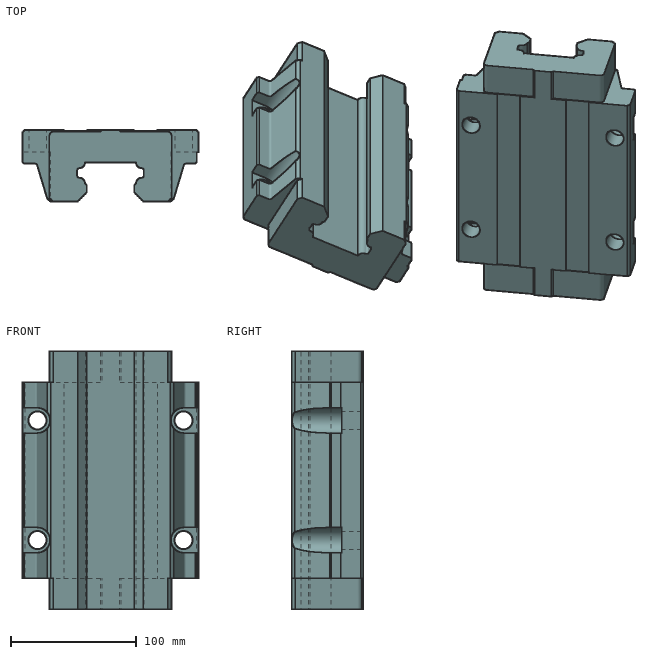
import cadquery as cq

WIDTH = 140.0
HEIGHT = 57.0
LENGTH = 205.1
BLOCK_LENGTH = 155.8

BLOCK_TOP_CHAMFER = 2.0
FLANGE_BOTTOM = 30.1
FLANGE_CHAMFER = 1.4
SKIRT_TOP_HALF = 58.65
SKIRT_FOOT_HALF = 50.3
SKIRT_FOOT_HEIGHT = 2.3
BLOCK_BOTTOM_HALF = 47.5
SKIRT_FILLET = 2.0

STEP_TOP = 39.2
STEP_DEPTH = 1.4

GROOVE_OFFSET = 27.75
GROOVE_WIDTH = 18.4
GROOVE_DEPTH = 0.7

CAP_WIDTH = 97.0
CAP_TOP = 55.6
CAP_TOP_RADIUS = 3.4
CAP_BOTTOM_CHAMFER = 3.0
RIDGE_BASE_WIDTH = 16.4

CHANNEL_TOP = 31.0
CHANNEL_HALF = 20.2
RACE_RADIUS = 4.5
RECESS_HALF = 26.4
RECESS_HEIGHT = 7.5
LIP_HALF = 18.85
LIP_TOP = 13.1
LIP_CHAMFER = 7.3

HOLE_SPACING_X = 116.0
HOLE_SPACING_Z = 95.0
HOLE_DIAMETER = 14.2
COUNTERBORE_DIAMETER = 20.0
SEAT_HEIGHT = 39.7


def along_z(section, length):
    """Extrude a closed XY section symmetrically about Z = 0."""
    return section.extrude(length / 2, both=True)


def box_at(x, y, size_x, size_y, length):
    """Bar along Z with its section centred at (x, y)."""
    return along_z(cq.Workplane("XY").center(x, y).rect(size_x, size_y), length)


def make_block():
    half = WIDTH / 2
    right_side = [
        (half - BLOCK_TOP_CHAMFER, HEIGHT),
        (half, HEIGHT - BLOCK_TOP_CHAMFER),
        (half, FLANGE_BOTTOM + FLANGE_CHAMFER),
        (half - FLANGE_CHAMFER, FLANGE_BOTTOM),
        (SKIRT_TOP_HALF, FLANGE_BOTTOM),
        (SKIRT_FOOT_HALF, SKIRT_FOOT_HEIGHT),
        (BLOCK_BOTTOM_HALF, 0),
    ]
    left_side = [(-x, y) for x, y in reversed(right_side)]
    block = along_z(cq.Workplane("XY").polyline(right_side + left_side).close(), BLOCK_LENGTH)
    for side in (-1, 1):
        corner = (side * SKIRT_TOP_HALF, FLANGE_BOTTOM, 0)
        block = block.edges(cq.selectors.NearestToPointSelector(corner)).fillet(SKIRT_FILLET)
    return block


def cut_reference_step(block):
    """Set the lower part of the +X flange edge back, with its bottom chamfer."""
    outer = WIDTH / 2
    inner = outer - STEP_DEPTH
    step = (
        cq.Workplane("XY")
        .moveTo(outer, STEP_TOP)
        .lineTo(inner, STEP_TOP)
        .lineTo(inner, FLANGE_BOTTOM + FLANGE_CHAMFER)
        .lineTo(inner - FLANGE_CHAMFER, FLANGE_BOTTOM)
        .lineTo(outer, FLANGE_BOTTOM)
        .close()
    )
    return block.cut(along_z(step, BLOCK_LENGTH))


def cut_top_grooves(block):
    for side in (-1, 1):
        groove_y = HEIGHT - GROOVE_DEPTH / 2
        block = block.cut(box_at(side * GROOVE_OFFSET, groove_y, GROOVE_WIDTH, GROOVE_DEPTH, BLOCK_LENGTH))
    return block


def cut_mounting_holes(block):
    """Drill through the flanges and open each counterbore toward -Y and the flange edge."""
    for side in (-1, 1):
        x = side * HOLE_SPACING_X / 2
        edge_distance = (WIDTH - HOLE_SPACING_X) / 2
        for z in (-HOLE_SPACING_Z / 2, HOLE_SPACING_Z / 2):
            base = cq.Workplane("XZ", origin=(x, 0, z))
            hole = base.circle(HOLE_DIAMETER / 2).extrude(-HEIGHT)
            seat = base.circle(COUNTERBORE_DIAMETER / 2).extrude(-SEAT_HEIGHT)
            opening = (
                base.center(side * edge_distance / 2, 0)
                .rect(edge_distance, COUNTERBORE_DIAMETER)
                .extrude(-SEAT_HEIGHT)
            )
            block = block.cut(hole).cut(seat).cut(opening)
    return block


def make_caps():
    """End caps beyond each end of the block, sharing one section with a central ridge."""
    core = box_at(0, CAP_TOP / 2, CAP_WIDTH, CAP_TOP, LENGTH)
    core = core.edges("|Z and >Y").fillet(CAP_TOP_RADIUS)
    core = core.edges("|Z and <Y").chamfer(CAP_BOTTOM_CHAMFER)

    base_half = RIDGE_BASE_WIDTH / 2
    top_half = base_half - (HEIGHT - CAP_TOP)
    ridge = cq.Workplane("XY").polyline(
        [(-base_half, CAP_TOP), (base_half, CAP_TOP), (top_half, HEIGHT), (-top_half, HEIGHT)]
    ).close()
    core = core.union(along_z(ridge, LENGTH))

    inside_block = box_at(0, HEIGHT / 2, CAP_WIDTH, HEIGHT, BLOCK_LENGTH)
    return core.cut(inside_block)


def make_channel():
    """Rail channel: a slot with a ball recess on each side and flared lips below it."""
    race_center = CHANNEL_HALF + RACE_RADIUS
    corner = RECESS_HALF - race_center
    recess_top = CHANNEL_TOP - RACE_RADIUS
    recess_bottom = recess_top - RECESS_HEIGHT
    lower_race_y = recess_bottom - RACE_RADIUS
    lip_inner_y = LIP_TOP + CHANNEL_HALF - LIP_HALF

    half = (
        cq.Workplane("XY")
        .moveTo(0, CHANNEL_TOP)
        .lineTo(CHANNEL_HALF, CHANNEL_TOP)
        .radiusArc((race_center, recess_top), -RACE_RADIUS)
        .radiusArc((RECESS_HALF, recess_top - corner), corner)
        .lineTo(RECESS_HALF, recess_bottom + corner)
        .radiusArc((race_center, recess_bottom), corner)
        .radiusArc((CHANNEL_HALF, lower_race_y), -RACE_RADIUS)
        .lineTo(CHANNEL_HALF, lip_inner_y)
        .lineTo(LIP_HALF, LIP_TOP)
        .lineTo(LIP_HALF, LIP_CHAMFER)
        .lineTo(LIP_HALF + LIP_CHAMFER, 0)
        .lineTo(0, 0)
        .close()
    )
    right_half = along_z(half, LENGTH)
    return right_half.union(right_half.mirror("YZ"))


block = make_block()
block = cut_reference_step(block)
block = cut_top_grooves(block)
block = cut_mounting_holes(block)
result = block.union(make_caps()).cut(make_channel())